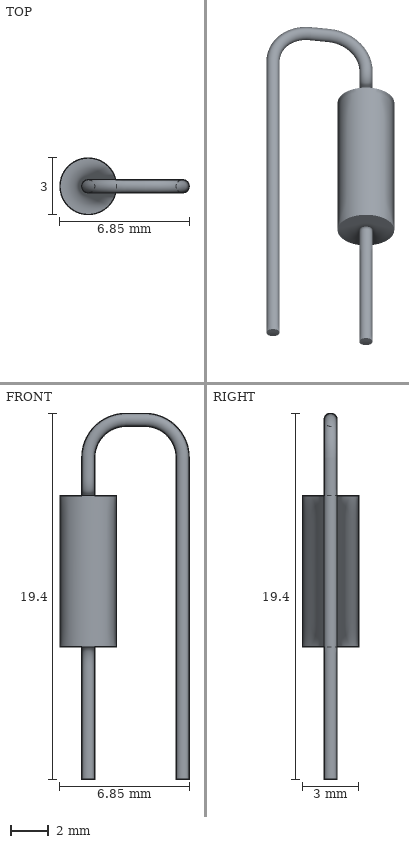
import cadquery as cq

overall_height = 19.35
body_diameter = 3.0
body_length = 8.0
body_bottom = 7.0
lead_diameter = 0.7
lead_pitch = 5.0
bend_radius = 2.0

lead_radius = lead_diameter / 2
arch_top = overall_height - lead_radius
bend_start = arch_top - bend_radius


def make_body():
    """Cylindrical body around the straight lead."""
    return cq.Workplane("XY").workplane(offset=body_bottom).circle(body_diameter / 2).extrude(body_length)


def make_lead():
    """Round wire through the body, over two quarter bends and back down."""
    diagonal = bend_radius * 0.5**0.5
    path = (
        cq.Workplane("XZ")
        .lineTo(0, bend_start)
        .threePointArc((bend_radius - diagonal, bend_start + diagonal), (bend_radius, arch_top))
        .lineTo(lead_pitch - bend_radius, arch_top)
        .threePointArc(
            (lead_pitch - bend_radius + diagonal, bend_start + diagonal),
            (lead_pitch, bend_start),
        )
        .lineTo(lead_pitch, 0)
    )
    return cq.Workplane("XY").circle(lead_radius).sweep(path)


result = make_body().union(make_lead())